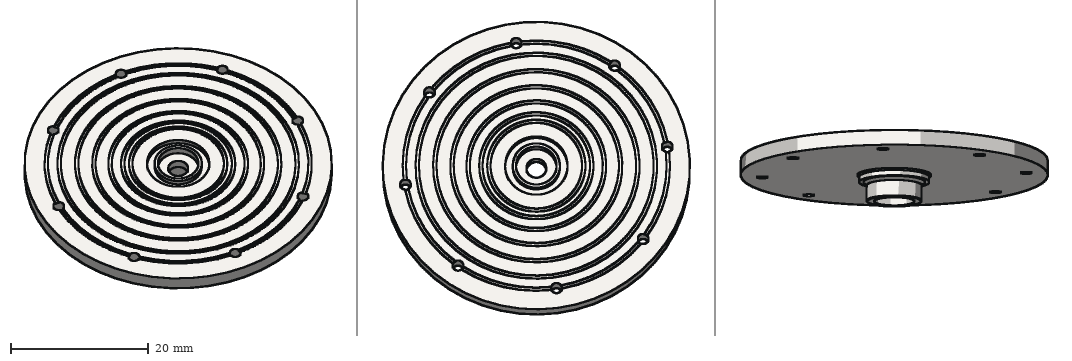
import cadquery as cq

plate_diameter = 44.8
plate_thickness = 2.2
total_height = 6.1

collar_diameter = 10.2
collar_bottom_depth = 3.23
collar_flare = 0.25
spigot_diameter = 8.0
spigot_flare = 0.5
spigot_end_chamfer = 0.1

seat_outer_diameter = 9.1
seat_inner_diameter = 6.9
seat_depth = 0.7
top_bore_diameter = 5.9
top_bore_depth = 1.1
center_hole_diameter = 2.9
web_thickness = 1.35
bottom_bore_diameter = 5.85
web_bottom_depth = top_bore_depth + web_thickness

groove_inner_diameters = (13.35, 15.7, 19.4, 24.1, 29.1, 34.23, 38.0)
groove_width = 0.5
groove_depth = 0.2

mount_hole_count = 8
mount_hole_diameter = 1.55
mount_circle_diameter = 38.6


def disc(diameter, top_depth, bottom_depth):
    """Cylinder on the Z axis between two depths below the top face (Z = 0)."""
    bottom_face = cq.Workplane("XY").workplane(offset=-bottom_depth)
    return bottom_face.circle(diameter / 2).extrude(bottom_depth - top_depth)


def ring_groove(inner_diameter, outer_diameter, depth):
    """Annular cutter reaching down from the top face."""
    return disc(outer_diameter, 0, depth).cut(disc(inner_diameter, 0, depth))


def hub_body():
    """Revolved collar and spigot with conical flares at both shoulders."""
    collar_radius = collar_diameter / 2
    spigot_radius = spigot_diameter / 2
    collar_flare_bottom = -plate_thickness - collar_flare
    spigot_flare_bottom = -collar_bottom_depth - spigot_flare
    return (
        cq.Workplane("XZ")
        .moveTo(0, -total_height)
        .lineTo(spigot_radius - spigot_end_chamfer, -total_height)
        .lineTo(spigot_radius, -total_height + spigot_end_chamfer)
        .lineTo(spigot_radius, spigot_flare_bottom)
        .lineTo(spigot_radius + spigot_flare, -collar_bottom_depth)
        .lineTo(collar_radius, -collar_bottom_depth)
        .lineTo(collar_radius, collar_flare_bottom)
        .lineTo(collar_radius + collar_flare, -plate_thickness)
        .lineTo(0, -plate_thickness)
        .close()
        .revolve(360, (0, 0, 0), (0, 1, 0))
    )


body = disc(plate_diameter, 0, plate_thickness).union(hub_body())

body = body.cut(ring_groove(seat_inner_diameter, seat_outer_diameter, seat_depth))
body = body.cut(disc(top_bore_diameter, 0, top_bore_depth))
body = body.cut(disc(center_hole_diameter, 0, total_height))
body = body.cut(disc(bottom_bore_diameter, web_bottom_depth, total_height))

for inner_diameter in groove_inner_diameters:
    body = body.cut(ring_groove(inner_diameter, inner_diameter + 2 * groove_width, groove_depth))

mount_holes = (
    cq.Workplane("XY")
    .polarArray(mount_circle_diameter / 2, 0, 360, mount_hole_count)
    .circle(mount_hole_diameter / 2)
    .extrude(-plate_thickness)
)

result = body.cut(mount_holes)